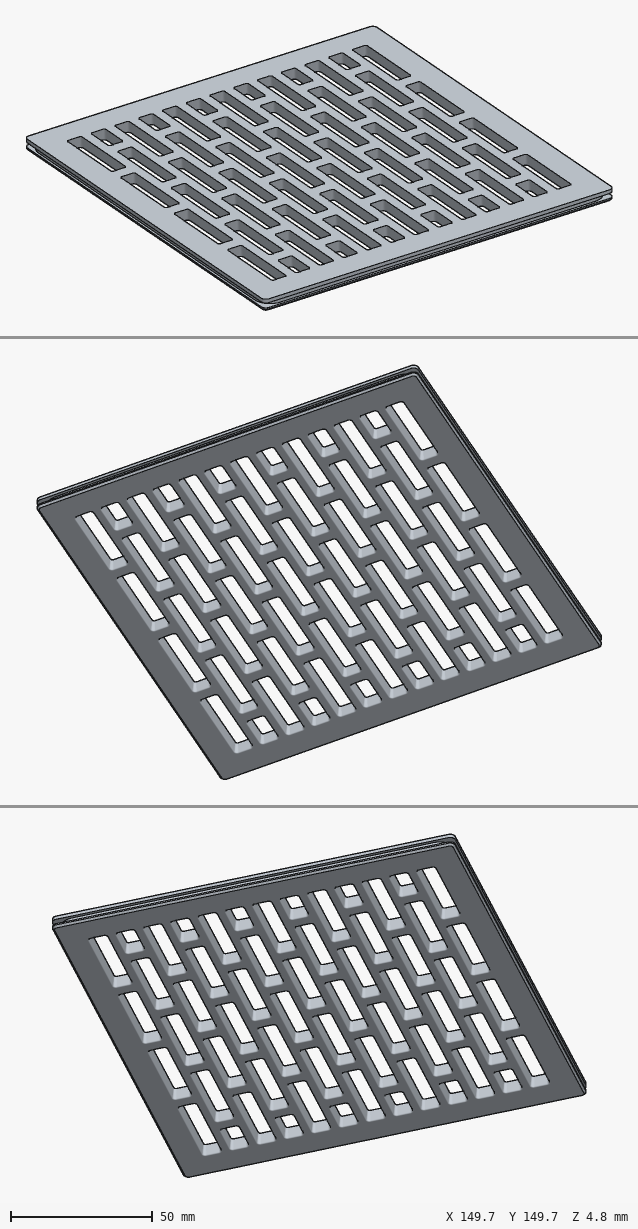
import cadquery as cq

side = 149.7
thickness = 4.8
corner_radius = 2.0
top_flange_height = 1.5
bottom_flange_height = 1.3
bottom_chamfer = 0.7
groove_depth = 1.0
groove_corner_radius = 6.5

field_margin = 10.8
row_count = 13
slots_per_row = 4
slot_height = 6.1
slot_gap = 5.1
slot_corner_radius = 0.7
slot_draft = 5
slot_rim_fillet = 0.5

field = side - 2 * field_margin
row_pitch = (field - slot_height) / (row_count - 1)
slot_length = (field - (slots_per_row - 1) * slot_gap) / slots_per_row
slot_pitch = slot_length + slot_gap
end_slot_length = (slot_length - slot_gap) / 2


def rounded_square(width, height, radius, base_z):
    """Square slab with rounded vertical edges, standing on base_z."""
    slab = cq.Workplane("XY").box(width, width, height, centered=(True, True, False))
    return slab.edges("|Z").fillet(radius).translate((0, 0, base_z))


def make_plate():
    """Two flanges joined by a narrower core, with a chamfered lower rim."""
    bottom = rounded_square(side, bottom_flange_height, corner_radius, 0)
    bottom = bottom.faces("<Z").chamfer(bottom_chamfer)
    core = rounded_square(side - 2 * groove_depth, thickness, groove_corner_radius, 0)
    top = rounded_square(side, top_flange_height, corner_radius, thickness - top_flange_height)
    return bottom.union(core).union(top)


def make_slot_cutter(length):
    """Solid that fills one slot: a rounded bar that widens downwards and flares at its bottom rim."""
    opening = cq.Sketch().rect(length, slot_height).vertices().fillet(slot_corner_radius)
    bar = (
        cq.Workplane("XY", origin=(0, 0, thickness))
        .placeSketch(opening)
        .extrude(-thickness, taper=-slot_draft)
    )
    blank = cq.Workplane("XY").box(
        length + slot_gap, slot_height + slot_gap, thickness, centered=(True, True, False)
    )
    slotted = blank.cut(bar)
    rim = slotted.faces("<Z").val().innerWires()[0]
    rounded = slotted.newObject(rim.Edges()).fillet(slot_rim_fillet)
    return blank.cut(rounded).val()


def row_centers(count):
    """X positions of a centered row of full-length slots."""
    return [(i - (count - 1) / 2) * slot_pitch for i in range(count)]


full_cutter = make_slot_cutter(slot_length)
end_cutter = make_slot_cutter(end_slot_length)
end_slot_x = (field - end_slot_length) / 2

cutters = []
for row in range(row_count):
    y = (row - (row_count - 1) / 2) * row_pitch
    staggered = row % 2 == 1
    full_count = slots_per_row - 1 if staggered else slots_per_row
    cutters += [full_cutter.translate((x, y, 0)) for x in row_centers(full_count)]
    if staggered:
        cutters += [end_cutter.translate((x, y, 0)) for x in (-end_slot_x, end_slot_x)]

result = make_plate().cut(cq.Compound.makeCompound(cutters))